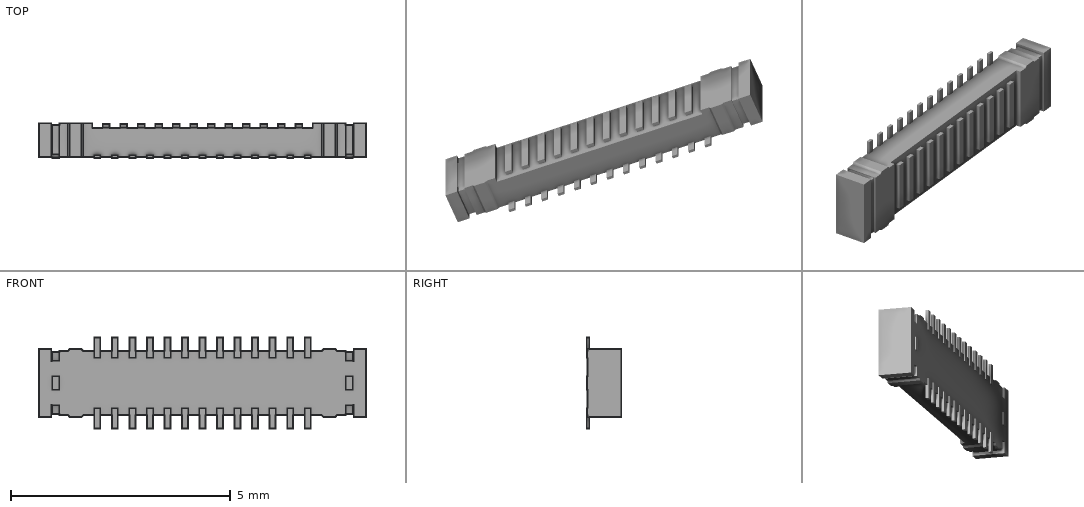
import cadquery as cq


total_length = 7.46
total_depth = 0.8
total_height = 2.08

tail_proud = 0.02
tail_face = -total_depth / 2
mount_face = tail_face + tail_proud
mating_face = total_depth / 2
housing_depth = mating_face - mount_face
end_height = 1.55
middle_height = 1.46

pad_center = 2.895
pad_base_length = 0.36
pad_top_length = 0.27

recess_length = 5.03
recess_depth = 0.11
rib_count = 12
rib_width = 0.165
rib_height = 0.09
rib_length = 1.15

tail_count = 13
tail_row_length = 4.8
tail_pitch = tail_row_length / (tail_count - 1)
tail_width = 0.14
tail_thickness = 0.07
tail_inner_z = 0.575
tail_length = total_height / 2 - tail_inner_z

end_block_length = 0.28
clip_slot_width = 0.18
clip_gap = 0.015
clip_slot_outer = total_length / 2 - end_block_length
clip_slot_center = clip_slot_outer - clip_slot_width / 2
clip_slot_floor = 0.51
clip_width = clip_slot_width - clip_gap
clip_center = clip_slot_center - clip_gap / 2
clip_top = 0.71
clip_front_setback = 0.07
clip_back_setback = 0.045
clip_depth = housing_depth - clip_front_setback - clip_back_setback
tab_height = 0.3


def box(size_x, size_y, size_z, x, front_y, z):
    """Box centred on x and z that runs from front_y toward +Y."""
    return cq.Workplane("XY").box(size_x, size_y, size_z).translate((x, front_y + size_y / 2, z))


def row_positions(count):
    """X positions of a centred row at the tail pitch."""
    return [(i - (count - 1) / 2) * tail_pitch for i in range(count)]


def pad(x):
    """Sloped-sided pad pair: one prism that reaches both the upper and lower face."""
    base = pad_base_length / 2
    top = pad_top_length / 2
    z_base = middle_height / 2
    z_top = end_height / 2
    outline = [
        (x - base, -z_base),
        (x - top, -z_top),
        (x + top, -z_top),
        (x + base, -z_base),
        (x + base, z_base),
        (x + top, z_top),
        (x - top, z_top),
        (x - base, z_base),
    ]
    return cq.Workplane("XZ", origin=(0, mating_face, 0)).polyline(outline).close().extrude(housing_depth)


def housing():
    """Housing with taller end blocks, pads and the mating-face recess."""
    body = box(total_length, housing_depth, middle_height, 0, mount_face, 0)
    for side in (-1, 1):
        end_x = side * (total_length - end_block_length) / 2
        body = body.union(box(end_block_length, housing_depth, end_height, end_x, mount_face, 0))
        body = body.union(pad(side * pad_center))
    recess = box(recess_length, recess_depth, end_height, 0, mating_face - recess_depth, 0)
    return body.cut(recess)


def add_clips(body):
    """Cut the clip slots and back grooves, then fit the clips and centre tabs at both ends."""
    slot_height = end_height / 2 - clip_slot_floor
    slot_z = clip_slot_floor + slot_height / 2
    clip_height = clip_top - clip_slot_floor
    clip_z = clip_slot_floor + clip_height / 2
    clip_front = mount_face + clip_front_setback
    groove_front = mating_face - clip_back_setback
    for side in (-1, 1):
        slot_x = side * clip_slot_center
        clip_x = side * clip_center
        groove = box(clip_slot_width, clip_back_setback, end_height, slot_x, groove_front, 0)
        body = body.cut(groove)
        for level in (-1, 1):
            slot = box(clip_slot_width, housing_depth, slot_height, slot_x, mount_face, level * slot_z)
            clip = box(clip_width, clip_depth, clip_height, clip_x, clip_front, level * clip_z)
            body = body.cut(slot).union(clip)
        body = body.union(box(clip_width, tail_thickness, tab_height, clip_x, tail_face, 0))
    return body


def add_tails(body):
    """Two rows of solder tails standing slightly proud of the mounting face."""
    tail_z = tail_inner_z + tail_length / 2
    for x in row_positions(tail_count):
        for level in (-1, 1):
            body = body.union(box(tail_width, tail_thickness, tail_length, x, tail_face, level * tail_z))
    return body


def add_ribs(body):
    """Ribs on the recess floor, each midway between two tails."""
    recess_floor = mating_face - recess_depth
    for x in row_positions(rib_count):
        body = body.union(box(rib_width, rib_height, rib_length, x, recess_floor, 0))
    return body


result = add_ribs(add_tails(add_clips(housing())))